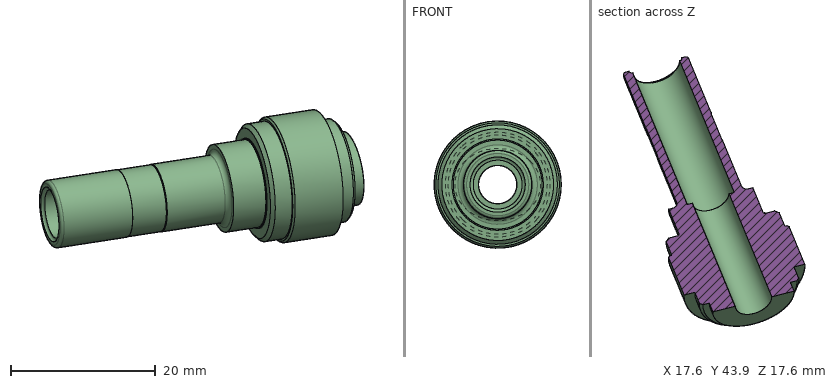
import cadquery as cq

total_length = 43.9
cap_end = 42.28
collar_end = 39.85
collar_start = 32.57
nut_start = 29.6
sleeve_start = 24.75
groove_end = 15.55
groove_start = 10.5

stem_radius = 4.75
groove_radius = 4.7
sleeve_radius = 6.15
lip_radius = 6.3
nut_radius = 8.25
collar_radius = 8.8
cap_radius = 7.25

ring_half_width = 5.93
ring_half_height = 4.983

bore_radius = 2.65
stem_bore_radius = 3.4
stem_bore_depth = sleeve_start

tip_round = 0.45
root_round = 0.75
groove_taper = 0.15
lip_length = 0.15
nut_chamfer = 0.53
collar_chamfer = 0.25
cap_chamfer = 0.4


def section(radius, start, end):
    """Solid cylinder around the Y axis between two stations."""
    return (
        cq.Workplane("XZ", origin=(0, start, 0))
        .circle(radius)
        .extrude(start - end)
    )


def make_stem():
    """Stem with a shallow groove and a concave round where it meets the sleeve."""
    root_start = sleeve_start - root_round
    stem = section(stem_radius, 0, sleeve_start).faces("<Y").edges().fillet(tip_round)
    groove = (
        cq.Workplane("XY")
        .moveTo(groove_radius, groove_start)
        .lineTo(stem_radius, groove_start)
        .lineTo(stem_radius, groove_end)
        .lineTo(groove_radius, groove_end - groove_taper)
        .close()
        .revolve(360, (0, 0, 0), (0, 1, 0))
    )
    stem = stem.cut(groove)
    root = (
        cq.Workplane("XY")
        .moveTo(0, root_start)
        .lineTo(stem_radius, root_start)
        .radiusArc((stem_radius + root_round, sleeve_start), root_round)
        .lineTo(0, sleeve_start)
        .close()
        .revolve(360, (0, 0, 0), (0, 1, 0))
    )
    return stem.union(root)


def make_body():
    """Sleeve, lip, nut, collar and cap stacked along the axis."""
    sleeve = section(sleeve_radius, sleeve_start, nut_start)
    lip = section(lip_radius, nut_start - lip_length, nut_start)
    nut = section(nut_radius, nut_start, collar_start).faces("<Y").edges().chamfer(nut_chamfer)
    collar = section(collar_radius, collar_start, collar_end).faces("<Y").edges().chamfer(collar_chamfer)
    cap = section(cap_radius, collar_end, cap_end).faces(">Y").edges().chamfer(cap_chamfer)
    return sleeve.union(lip).union(nut).union(collar).union(cap)


def make_release_ring():
    return (
        cq.Workplane("XZ", origin=(0, cap_end, 0))
        .ellipse(ring_half_width, ring_half_height)
        .extrude(cap_end - total_length)
    )


def make_bore():
    """Through bore, widened inside the stem with a rounded mouth."""
    through = section(bore_radius, 0, total_length)
    stem_bore = section(stem_bore_radius, 0, stem_bore_depth)
    mouth = (
        cq.Workplane("XY")
        .lineTo(stem_bore_radius + tip_round, 0)
        .radiusArc((stem_bore_radius, tip_round), -tip_round)
        .lineTo(0, tip_round)
        .close()
        .revolve(360, (0, 0, 0), (0, 1, 0))
    )
    return through.union(stem_bore).union(mouth)


result = make_stem().union(make_body()).union(make_release_ring()).cut(make_bore())